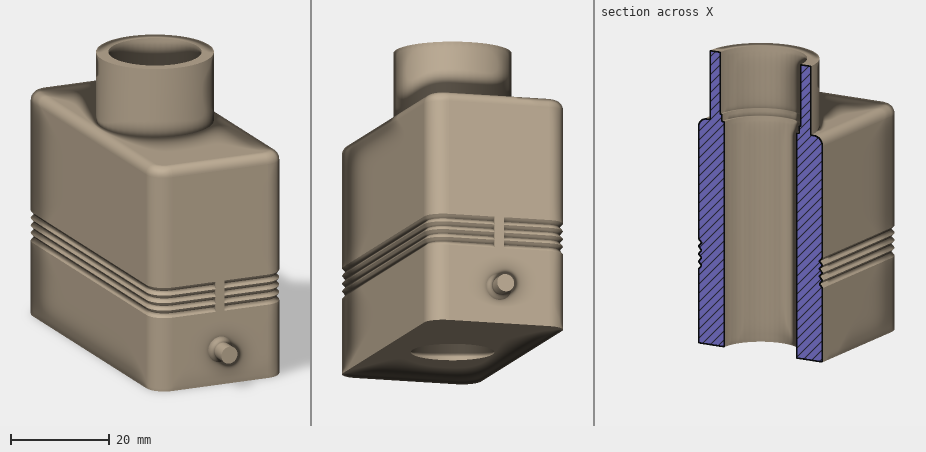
import cadquery as cq

BODY_LENGTH = 63.0
BODY_WIDTH = 29.41
BODY_HEIGHT = 47.5
CORNER_RADIUS = 4.0
TOP_FILLET = 2.0

TOTAL_HEIGHT = 62.0
TUBE_DIAMETER = 24.0
TUBE_BORE = 19.0
TUBE_BORE_DEPTH = 13.0
SEAT_BORE = 18.2
ENTRY_BORE = 17.0

GROOVE_COUNT = 4
GROOVE_PITCH = 1.6
GROOVE_DEPTH = 0.7
GROOVE_BASE_Z = 15.6
BRIDGE_WIDTH = 2.0
CUTTER_MARGIN = 2.0

TOTAL_LENGTH = 72.0
PIN_DIAMETER = 3.6
PIN_Z = 7.5
COLLAR_DIAMETER = 5.4
COLLAR_HEIGHT = 0.9
ROOT_DEPTH = 1.0


def body_outline(inset):
    """Rounded rectangle of the body, moved inward by the inset."""
    return (
        cq.Sketch()
        .rect(BODY_LENGTH - 2 * inset, BODY_WIDTH - 2 * inset)
        .vertices()
        .fillet(CORNER_RADIUS - inset)
    )


def make_body():
    """Body with rounded top rim, and the entry tube standing on it."""
    body = (
        cq.Workplane("XY")
        .placeSketch(body_outline(0))
        .extrude(BODY_HEIGHT)
        .faces(">Z")
        .edges()
        .fillet(TOP_FILLET)
    )
    tube = (
        cq.Workplane("XY", origin=(0, 0, BODY_HEIGHT))
        .circle(TUBE_DIAMETER / 2)
        .extrude(TOTAL_HEIGHT - BODY_HEIGHT)
    )
    return body.union(tube)


def tapered_core(base_z, base_inset, top_inset):
    """Material left inside one flank of a groove: a loft between two body outlines."""
    flank_rise = cq.Location(cq.Vector(0, 0, GROOVE_PITCH / 2))
    return (
        cq.Workplane("XY", origin=(0, 0, base_z))
        .placeSketch(body_outline(base_inset), body_outline(top_inset).moved(flank_rise))
        .loft(ruled=True)
    )


def groove_band_block(length, width):
    """Rectangular block as tall as the whole band of grooves."""
    return (
        cq.Workplane("XY", origin=(0, 0, GROOVE_BASE_Z))
        .rect(length, width)
        .extrude(GROOVE_COUNT * GROOVE_PITCH)
    )


def make_groove_cutter():
    """Ring of material removed by the stacked V grooves, broken by a bridge at each end."""
    cutter_length = BODY_LENGTH + 2 * CUTTER_MARGIN
    cutter = groove_band_block(cutter_length, BODY_WIDTH + 2 * CUTTER_MARGIN)
    for index in range(GROOVE_COUNT):
        base_z = GROOVE_BASE_Z + index * GROOVE_PITCH
        cutter = cutter.cut(tapered_core(base_z, 0, GROOVE_DEPTH))
        cutter = cutter.cut(tapered_core(base_z + GROOVE_PITCH / 2, GROOVE_DEPTH, 0))
    return cutter.cut(groove_band_block(cutter_length, BRIDGE_WIDTH))


def make_entry_cutter():
    """Cable bore in three steps: tube bore, shallow seat bore, then the entry bore to the bottom."""
    seat_z = TOTAL_HEIGHT - TUBE_BORE_DEPTH
    profile = [
        (0, 0),
        (ENTRY_BORE / 2, 0),
        (ENTRY_BORE / 2, BODY_HEIGHT),
        (SEAT_BORE / 2, BODY_HEIGHT),
        (SEAT_BORE / 2, seat_z),
        (TUBE_BORE / 2, seat_z),
        (TUBE_BORE / 2, TOTAL_HEIGHT),
        (0, TOTAL_HEIGHT),
    ]
    return cq.Workplane("XZ").polyline(profile).close().revolve(360, (0, 0), (0, 1))


def make_pin(side):
    """Locking pin with a conical collar; side is +1 or -1 along X."""
    face_x = BODY_LENGTH / 2
    profile = [
        (face_x - ROOT_DEPTH, 0),
        (face_x - ROOT_DEPTH, COLLAR_DIAMETER / 2),
        (face_x, COLLAR_DIAMETER / 2),
        (face_x + COLLAR_HEIGHT, PIN_DIAMETER / 2),
        (TOTAL_LENGTH / 2, PIN_DIAMETER / 2),
        (TOTAL_LENGTH / 2, 0),
    ]
    return (
        cq.Workplane("XZ", origin=(0, 0, PIN_Z))
        .polyline([(side * x, z) for x, z in profile])
        .close()
        .revolve(360, (0, 0), (1, 0))
    )


result = make_body().cut(make_groove_cutter()).cut(make_entry_cutter())
for side in (-1, 1):
    result = result.union(make_pin(side))